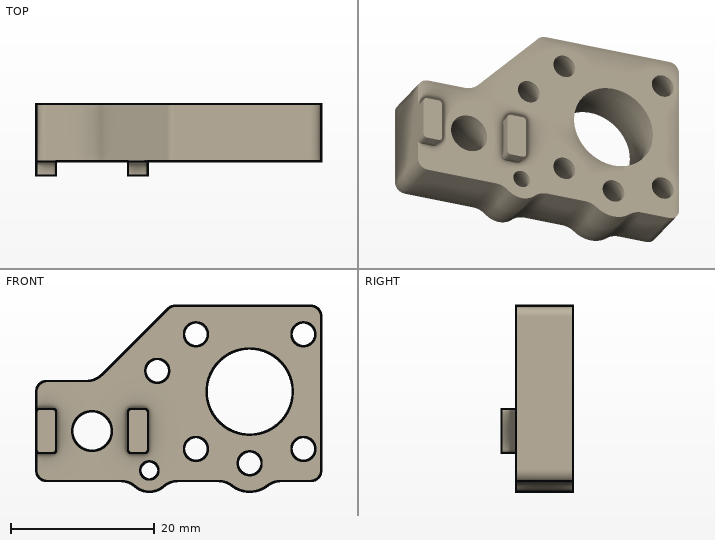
import cadquery as cq
import math

THICKNESS = 8.0
RIGHT_X = 10.0
LEFT_X = -29.8
TOP_Z = 12.0
ARM_AXIS = (-22.0, -5.5)
ARM_HALF_HEIGHT = 7.0
ARM_TOP_Z = ARM_AXIS[1] + ARM_HALF_HEIGHT
BOTTOM_Z = ARM_AXIS[1] - ARM_HALF_HEIGHT
SLOPE_TOP_X = -11.0
SLOPE_FOOT_X = SLOPE_TOP_X - (TOP_Z - ARM_TOP_Z)
CORNER_RADIUS = 1.5
BLEND_RADIUS = 3.0

MAIN_BORE_DIAMETER = 12.0
ARM_BORE_DIAMETER = 5.5
SCREW_DIAMETER = 3.3
PILOT_DIAMETER = 2.5
SCREW_HALF_SPACING_X = 7.5
SCREW_HALF_SPACING_Z = 8.0
FLANK_SCREW = (-12.9, 2.9)
LOWER_SCREW = (0.0, -10.0)
PILOT_HOLE = (-14.0, -11.0)

LOBES = [(LOWER_SCREW, 4.0), (PILOT_HOLE, 3.0)]

KEY_INNER_OFFSET = 5.0
KEY_WIDTH = ARM_AXIS[0] - KEY_INNER_OFFSET - LEFT_X
KEY_LENGTH = 6.2
KEY_HEIGHT = 2.0
KEY_CORNER_RADIUS = 0.5

PICK_MARGIN = 0.01


def front_plane():
    """XZ sketch on the front face; extruding a negative distance goes into the plate (+Y)."""
    return cq.Workplane("XZ")


def fillet_corners(body, points, radius):
    """Round the depth-wise edges of the body that stand on the given (x, z) outline points."""
    for x, z in points:
        box = cq.selectors.BoxSelector(
            (x - PICK_MARGIN, 0, z - PICK_MARGIN),
            (x + PICK_MARGIN, THICKNESS, z + PICK_MARGIN),
        )
        body = body.edges("|Y").edges(box).fillet(radius)
    return body


def make_plate():
    arm_corners = [(LEFT_X, BOTTOM_Z), (LEFT_X, ARM_TOP_Z)]
    slope_foot = (SLOPE_FOOT_X, ARM_TOP_Z)
    body_corners = [(SLOPE_TOP_X, TOP_Z), (RIGHT_X, TOP_Z), (RIGHT_X, BOTTOM_Z)]
    outline = arm_corners + [slope_foot] + body_corners
    plate = front_plane().polyline(outline).close().extrude(-THICKNESS)

    inside_corners = [slope_foot]
    for (x, z), radius in LOBES:
        plate = plate.union(front_plane().center(x, z).circle(radius).extrude(-THICKNESS))
        half_chord = math.sqrt(radius**2 - (z - BOTTOM_Z) ** 2)
        inside_corners += [(x - half_chord, BOTTOM_Z), (x + half_chord, BOTTOM_Z)]

    plate = fillet_corners(plate, arm_corners + body_corners, CORNER_RADIUS)
    return fillet_corners(plate, inside_corners, BLEND_RADIUS)


def drill(body, points, diameter):
    holes = front_plane().pushPoints(points).circle(diameter / 2).extrude(-THICKNESS)
    return body.cut(holes)


def make_key(side):
    """Key on the left (side = -1) or right (side = 1) of the arm bore."""
    center_x = ARM_AXIS[0] + side * (KEY_INNER_OFFSET + KEY_WIDTH / 2)
    key = front_plane().center(center_x, ARM_AXIS[1]).rect(KEY_WIDTH, KEY_LENGTH).extrude(KEY_HEIGHT)
    return key.edges("|Y").fillet(KEY_CORNER_RADIUS)


square_screws = [
    (side_x * SCREW_HALF_SPACING_X, side_z * SCREW_HALF_SPACING_Z)
    for side_x in (-1, 1)
    for side_z in (-1, 1)
]

result = make_plate()
result = drill(result, [(0.0, 0.0)], MAIN_BORE_DIAMETER)
result = drill(result, [ARM_AXIS], ARM_BORE_DIAMETER)
result = drill(result, square_screws + [FLANK_SCREW, LOWER_SCREW], SCREW_DIAMETER)
result = drill(result, [PILOT_HOLE], PILOT_DIAMETER)
for key_side in (-1, 1):
    result = result.union(make_key(key_side))